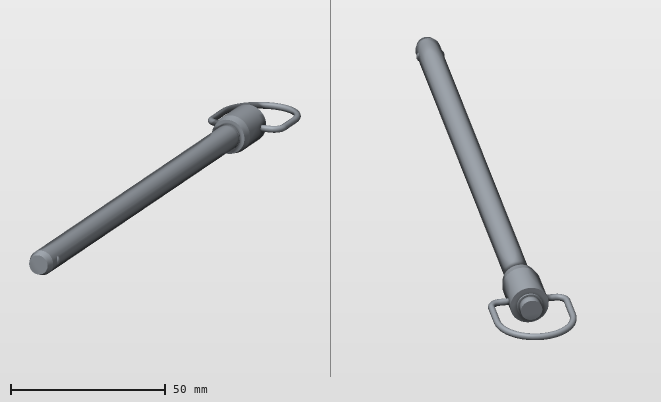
import cadquery as cq

total_length = 200.5

shank_diameter = 8.2
tip_diameter = 6.5
tip_length = 2.6

ball_diameter = 3.6
ball_y = 7.0
ball_span = 9.2

head_diameter = 12.6
head_nose_diameter = 11.5
head_bottom_y = 160.9
head_taper_length = 3.2
head_top_y = 178.0
collar_diameter = 8.5
collar_height = 0.6
button_diameter = 7.0
button_top_y = 181.5

ring_width = 27.0
wire_diameter = 2.2
corner_radius = 3.2
ring_leg_y = 174.3


def make_pin_body():
    """Shank, head and button as one turned profile about the Y axis."""
    shank_radius = shank_diameter / 2
    head_radius = head_diameter / 2
    collar_radius = collar_diameter / 2
    return (
        cq.Workplane("XY")
        .lineTo(tip_diameter / 2, 0)
        .lineTo(shank_radius, tip_length)
        .lineTo(shank_radius, head_bottom_y - collar_height)
        .lineTo(collar_radius, head_bottom_y - collar_height)
        .lineTo(collar_radius, head_bottom_y)
        .lineTo(head_nose_diameter / 2, head_bottom_y)
        .lineTo(head_radius, head_bottom_y + head_taper_length)
        .lineTo(head_radius, head_top_y)
        .lineTo(collar_radius, head_top_y)
        .lineTo(collar_radius, head_top_y + collar_height)
        .lineTo(button_diameter / 2, head_top_y + collar_height)
        .lineTo(button_diameter / 2, button_top_y)
        .lineTo(0, button_top_y)
        .close()
        .revolve(360, (0, 0), (0, 1))
    )


def make_ball(side):
    """Locking ball protruding from the shank on the given X side."""
    ball_x = side * (ball_span - ball_diameter) / 2
    return cq.Workplane("XY").sphere(ball_diameter / 2).translate((ball_x, ball_y, 0))


def make_ring():
    """Wire swept around the bow, down both sides and into the head."""
    bow_radius = (ring_width - wire_diameter) / 2
    bow_center_y = total_length - ring_width / 2
    leg_end_x = head_diameter / 4
    corner_x = bow_radius - corner_radius
    corner_y = ring_leg_y + corner_radius
    path = (
        cq.Workplane("XY")
        .moveTo(-leg_end_x, ring_leg_y)
        .lineTo(-corner_x, ring_leg_y)
        .tangentArcPoint((-bow_radius, corner_y), relative=False)
        .lineTo(-bow_radius, bow_center_y)
        .threePointArc((0, bow_center_y + bow_radius), (bow_radius, bow_center_y))
        .lineTo(bow_radius, corner_y)
        .tangentArcPoint((corner_x, ring_leg_y), relative=False)
        .lineTo(leg_end_x, ring_leg_y)
    )
    section = cq.Workplane("YZ", origin=(-leg_end_x, ring_leg_y, 0))
    return section.circle(wire_diameter / 2).sweep(path)


result = make_pin_body().union(make_ring())
for ball_side in (-1, 1):
    result = result.union(make_ball(ball_side))